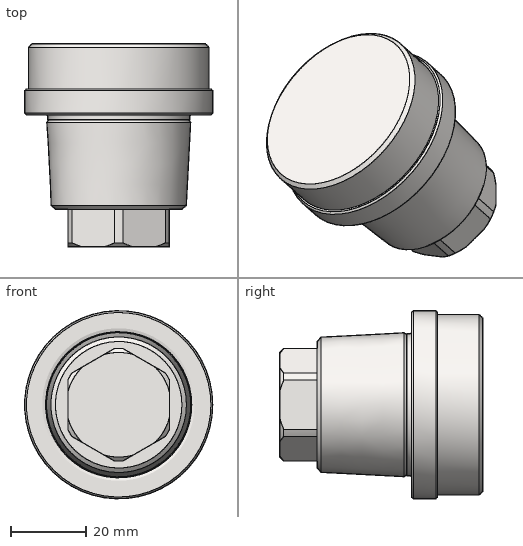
import cadquery as cq
import math


flange_back = 12.0
flange_length = 7.0
flange_front = flange_back + flange_length
shank_length = 25.0
body_end = flange_front + shank_length
hex_length = 10.0

head_radius = 24.0
head_chamfer = 1.0

flange_radius = 25.0
flange_chamfer = 0.5

recess_radius = 20.25
recess_angle = math.radians(15.0)
neck_radius = 18.9
neck_fillet = 0.7

neck_length = 1.15
neck_end = flange_front + neck_length
notch_radius = 18.75
notch_side_length = 0.2
notch_bottom = neck_end + notch_side_length

taper_offset = 2.0
taper_start = flange_front + taper_offset
taper_radius = 19.15
taper_angle = math.radians(3.0)
body_chamfer_length = 1.0
body_end_radius = 16.8

hex_across_flats = 27.0
hex_corner_radius = 15.0
hex_chamfer = 1.1


def turned_body():
    """Head, flange, neck and tapered body as one revolved profile of (radius, -distance) points."""
    fillet_center_radius = neck_radius + neck_fillet
    fillet_start_radius = fillet_center_radius - neck_fillet * math.sin(recess_angle)
    recess_depth = (recess_radius - fillet_start_radius) * math.tan(recess_angle)
    fillet_start = flange_front - recess_depth
    fillet_center = fillet_start + neck_fillet * math.cos(recess_angle)
    mid_angle = (math.pi / 2 - recess_angle) / 2
    fillet_mid_radius = fillet_center_radius - neck_fillet * math.cos(mid_angle)
    fillet_mid = fillet_center - neck_fillet * math.sin(mid_angle)

    chamfer_start = body_end - body_chamfer_length
    chamfer_start_radius = taper_radius - (chamfer_start - taper_start) * math.tan(taper_angle)

    profile = (
        cq.Workplane("XY")
        .moveTo(0, 0)
        .lineTo(head_radius - head_chamfer, 0)
        .lineTo(head_radius, -head_chamfer)
        .lineTo(head_radius, -flange_back)
        .lineTo(flange_radius - flange_chamfer, -flange_back)
        .lineTo(flange_radius, -flange_back - flange_chamfer)
        .lineTo(flange_radius, -flange_front + flange_chamfer)
        .lineTo(flange_radius - flange_chamfer, -flange_front)
        .lineTo(recess_radius, -flange_front)
        .lineTo(fillet_start_radius, -fillet_start)
        .threePointArc((fillet_mid_radius, -fillet_mid), (neck_radius, -fillet_center))
        .lineTo(neck_radius, -neck_end)
        .lineTo(notch_radius, -notch_bottom)
        .lineTo(taper_radius, -taper_start)
        .lineTo(chamfer_start_radius, -chamfer_start)
        .lineTo(body_end_radius, -body_end)
        .lineTo(0, -body_end)
        .close()
    )
    return profile.revolve(360, (0, 0, 0), (0, 1, 0))


def hexagon():
    """Hexagon with flats facing +X and -X, corners turned round and the end chamfered."""
    across_corners = hex_across_flats / math.cos(math.pi / 6)
    prism = (
        cq.Workplane("XZ", origin=(0, -body_end, 0))
        .transformed(rotate=(0, 0, 90))
        .polygon(6, across_corners)
        .extrude(hex_length)
    )
    envelope = (
        cq.Workplane("XZ", origin=(0, -body_end, 0))
        .circle(hex_corner_radius)
        .extrude(hex_length)
        .faces("<Y")
        .chamfer(hex_chamfer)
    )
    return prism.intersect(envelope)


result = turned_body().union(hexagon())